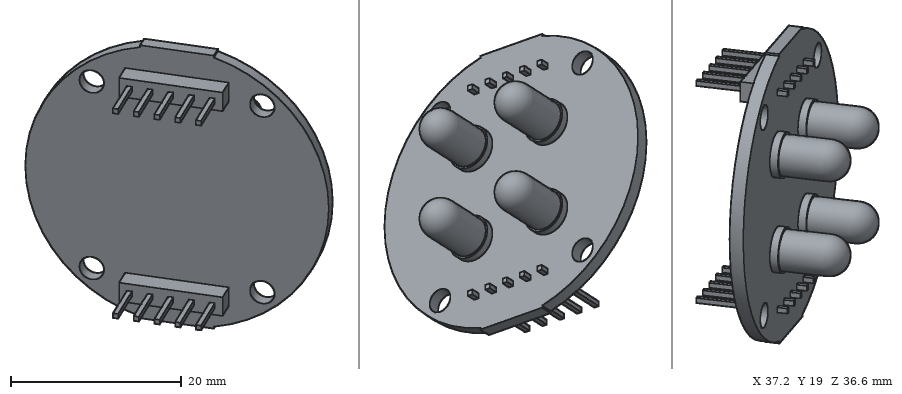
import cadquery as cq
import math

board_diameter = 37.2
board_height = 36.6
board_thickness = 1.7
tab_width = 9.06

mount_hole_diameter = 3.0
mount_hole_spacing_x = 20.9
mount_hole_spacing_z = 25.0

pin_pitch = 2.54
pins_per_header = 5
header_length = pins_per_header * pin_pitch
header_height = 2.5
header_depth = 2.54
header_spacing_z = 27.44
pin_width = 0.64
pin_front_length = 5.75
pin_back_length = 1.25

led_diameter = 5.0
led_flange_diameter = 5.5
led_flange_thickness = 1.0
led_height = 9.0
led_spacing_x = 11.0
led_spacing_z = 12.0


def make_board():
    """Disc with a shallow straight-sided tab at the top and the bottom."""
    radius = board_diameter / 2
    tab_x = tab_width / 2
    tab_z = board_height / 2
    shoulder_z = math.sqrt(radius**2 - tab_x**2)
    outline = (
        cq.Workplane("XZ")
        .moveTo(-tab_x, shoulder_z)
        .lineTo(-tab_x, tab_z)
        .lineTo(tab_x, tab_z)
        .lineTo(tab_x, shoulder_z)
        .threePointArc((radius, 0), (tab_x, -shoulder_z))
        .lineTo(tab_x, -tab_z)
        .lineTo(-tab_x, -tab_z)
        .lineTo(-tab_x, -shoulder_z)
        .threePointArc((-radius, 0), (-tab_x, shoulder_z))
        .close()
    )
    board = outline.extrude(-board_thickness)
    holes = (
        cq.Workplane("XZ")
        .rarray(mount_hole_spacing_x, mount_hole_spacing_z, 2, 2)
        .circle(mount_hole_diameter / 2)
        .extrude(-board_thickness)
    )
    return board.cut(holes)


def make_headers():
    """Two header blocks, each with a row of square pins through the board."""
    blocks = (
        cq.Workplane("XZ")
        .rarray(1, header_spacing_z, 1, 2)
        .rect(header_length, header_height)
        .extrude(header_depth)
    )
    pin_back_y = board_thickness + pin_back_length
    pin_length = pin_back_y + header_depth + pin_front_length
    pins = (
        cq.Workplane("XZ", origin=(0, pin_back_y, 0))
        .rarray(pin_pitch, header_spacing_z, pins_per_header, 2)
        .rect(pin_width, pin_width)
        .extrude(pin_length)
    )
    return blocks.union(pins)


def make_led():
    """Flanged cylinder with a hemispherical dome, axis along +Y from the origin."""
    lens_radius = led_diameter / 2
    flange_radius = led_flange_diameter / 2
    dome_start = led_height - lens_radius
    dome_mid = lens_radius * math.sqrt(0.5)
    return (
        cq.Workplane("YZ")
        .lineTo(0, flange_radius)
        .lineTo(led_flange_thickness, flange_radius)
        .lineTo(led_flange_thickness, lens_radius)
        .lineTo(dome_start, lens_radius)
        .threePointArc((dome_start + dome_mid, dome_mid), (led_height, 0))
        .close()
        .revolve(360, (0, 0, 0), (1, 0, 0))
    )


def make_leds():
    """Four LEDs seated on the back face of the board."""
    led = make_led()
    leds = cq.Workplane("XZ")
    for x in (-led_spacing_x / 2, led_spacing_x / 2):
        for z in (-led_spacing_z / 2, led_spacing_z / 2):
            leds = leds.add(led.translate((x, board_thickness, z)))
    return leds


result = make_board().union(make_headers()).union(make_leds())